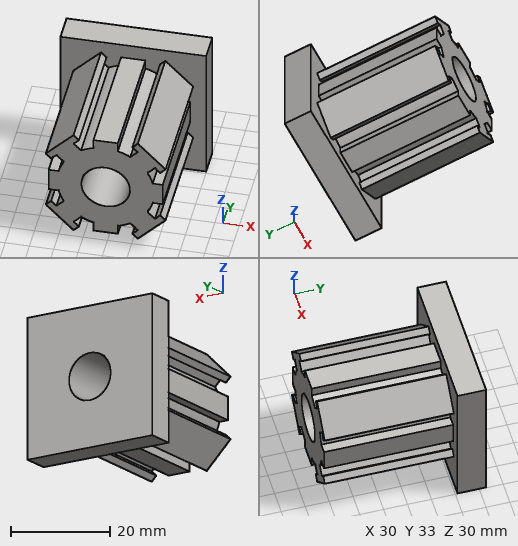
import cadquery as cq

total_length = 33.0
plate_side = 30.0
plate_thickness = 6.0
plug_length = total_length - plate_thickness

bore_diameter = 10.0
core_diameter = 20.0
rib_width = 5.0
rib_reach = 11.75
stem_width = 5.0
cap_width = 8.1
cap_thickness = 1.6
cap_reach = 13.4
cap_inner = cap_reach - cap_thickness

front_face = cq.Workplane("XZ", origin=(0, -total_length / 2, 0))


def radial_bar(width, inner, outer, angle):
    """Bar along the plug, spanning two distances from the axis, turned about Y."""
    bar = cq.Workplane("XY").box(outer - inner, total_length, width)
    bar = bar.translate(((inner + outer) / 2, 0, 0))
    return bar.rotate((0, 0, 0), (0, 1, 0), angle)


plate = cq.Workplane("XY").box(plate_side, plate_thickness, plate_side)
plate = plate.translate((0, plug_length / 2, 0))

core = front_face.circle(core_diameter / 2).extrude(-total_length)
body = plate.union(core)

for quarter in range(4):
    straight_angle = quarter * 90
    diagonal_angle = straight_angle + 45
    body = body.union(radial_bar(rib_width, 0, rib_reach, straight_angle))
    body = body.union(radial_bar(stem_width, 0, cap_reach, diagonal_angle))
    body = body.union(radial_bar(cap_width, cap_inner, cap_reach, diagonal_angle))

bore = front_face.circle(bore_diameter / 2).extrude(-total_length)
result = body.cut(bore)